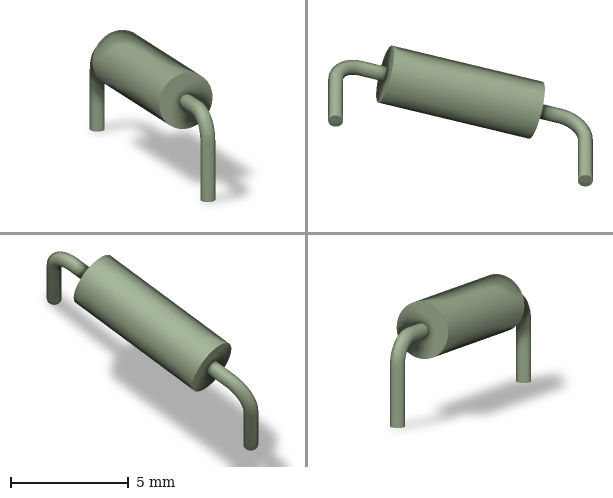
import cadquery as cq

overall_length = 11.74
overall_height = 5.02

body_length = 6.72
body_diameter = 2.49

wire_diameter = 0.63
bend_radius = 1.13

body_end_x = body_length / 2
leg_x = (overall_length - wire_diameter) / 2
bend_start_x = leg_x - bend_radius
foot_z = body_diameter / 2 - overall_height


def make_body():
    """Plain cylinder centred on the X axis."""
    end_face = cq.Workplane("YZ", origin=(-body_end_x, 0, 0))
    return end_face.circle(body_diameter / 2).extrude(body_length)


def make_lead(side):
    """Wire leaving one body end along X and bending down; side is +1 or -1."""
    bend_centre = (side * bend_start_x, -bend_radius)
    diagonal = bend_radius / 2**0.5
    bend_middle = (bend_centre[0] + side * diagonal, bend_centre[1] + diagonal)
    path = (
        cq.Workplane("XZ")
        .moveTo(side * body_end_x, 0)
        .lineTo(side * bend_start_x, 0)
        .threePointArc(bend_middle, (side * leg_x, -bend_radius))
        .lineTo(side * leg_x, foot_z)
    )
    section = cq.Workplane("YZ", origin=(side * body_end_x, 0, 0)).circle(wire_diameter / 2)
    return section.sweep(path)


body = make_body()
leads = [make_lead(side) for side in (-1, 1)]

result = cq.Compound.makeCompound([body.val(), *[lead.val() for lead in leads]])